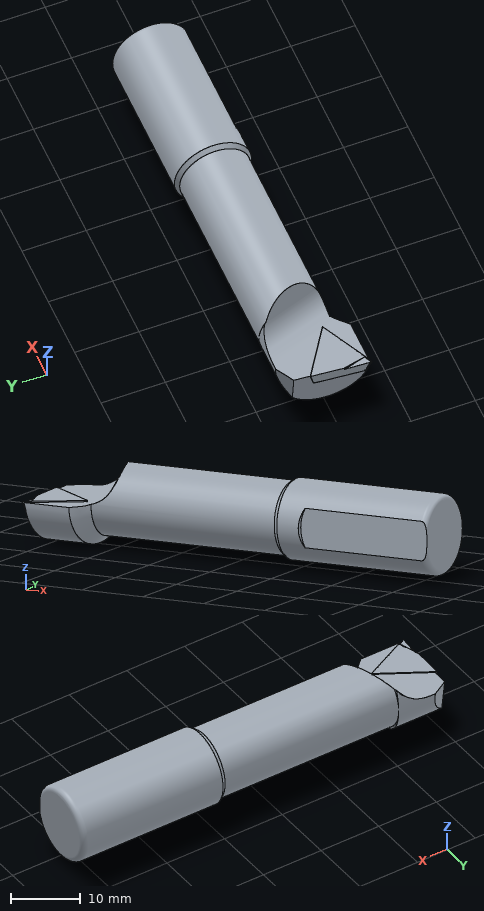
import cadquery as cq
import math

total_length = 65.0
shank_diameter = 12.0
neck_diameter = 11.0
shank_start = 40.0
shank_lead_length = 0.7
shank_end_rounding = 0.9
shank_radius = shank_diameter / 2
neck_radius = neck_diameter / 2

flat_y = -5.25
flat_start = 44.25
flat_end_radius = 6.2

head_diameter = 13.3
head_radius = head_diameter / 2
head_offset_y = neck_radius - head_radius
head_end = 9.95

front_face_x = 0.625
front_lead_slope = 0.055
front_clearance_slope = 0.11
corner_y = 3.85
corner_slope = 1.68

floor_z = 0.1
floor_slope = 0.047
gullet_angle = math.radians(20)
gullet_radius = 5.3
gullet_arc_start = 6.1
gullet_runout_angle = math.radians(62)

insert_side = 9.5
insert_thickness = 2.35
insert_clearance = 11.0
insert_corner_angle = 60.0
insert_lead_angle = 3.0
insert_proud = 0.2
insert_tip_x = -0.02
insert_tip_y = -8.05

breaker_start_y = -3.6
breaker_inner_x = 1.25
breaker_inner_y = -7.6
breaker_z = -0.4
breaker_rise_x = 0.1
breaker_rise_y = -0.025

cutter_size = 26.0

floor_normal = cq.Vector(0, -floor_slope, 1)


def trim(body, point, outward):
    """Remove everything beyond the plane through point."""
    plane = cq.Plane(origin=point, normal=outward)
    return body.cut(cq.Workplane(plane).rect(2 * cutter_size, 2 * cutter_size).extrude(cutter_size))


def make_bar_blank():
    """Turned neck and shank."""
    return (
        cq.Workplane("XY")
        .moveTo(head_end / 2, 0)
        .lineTo(head_end / 2, neck_radius)
        .lineTo(shank_start, neck_radius)
        .lineTo(shank_start + shank_lead_length, shank_radius)
        .lineTo(total_length - shank_end_rounding, shank_radius)
        .radiusArc((total_length, shank_radius - shank_end_rounding), shank_end_rounding)
        .lineTo(total_length, 0)
        .close()
        .revolve(360, (0, 0, 0), (1, 0, 0))
    )


def make_clamping_flat():
    """Cutter for the flat, with a round end toward the neck."""
    end_center = flat_start + flat_end_radius
    start = cq.Workplane("XZ", origin=(end_center, flat_y, 0)).circle(flat_end_radius).extrude(cutter_size)
    length = total_length - end_center
    run = (
        cq.Workplane("XZ", origin=(end_center, flat_y, 0))
        .rect(length, 2 * flat_end_radius, centered=(False, True))
        .extrude(cutter_size)
    )
    return start.union(run)


def make_head():
    """Offset cylinder whose rear is a 45 degree cone around the bar axis."""
    cylinder = cq.Workplane("YZ").center(head_offset_y, 0).circle(head_radius).extrude(head_end)
    cone = (
        cq.Workplane("XY")
        .polyline([(0, 0), (0, neck_radius + head_end), (head_end, neck_radius), (head_end, 0)])
        .close()
        .revolve(360, (0, 0, 0), (1, 0, 0))
    )
    return cylinder.intersect(cone)


def trim_head_front(body):
    """Cut the sloping front face and the bevelled corner on its +Y side."""
    corner_x = front_face_x + front_lead_slope * corner_y
    body = trim(body, (front_face_x, 0, 0), (-1, front_lead_slope, -front_clearance_slope))
    return trim(body, (corner_x, corner_y, 0), (-1, corner_slope, -front_clearance_slope))


def make_gullet():
    """Cutter for the space above the insert seat."""
    sine = math.sin(gullet_angle)
    cosine = math.cos(gullet_angle)
    plane = cq.Plane(
        origin=(0, 0, floor_z),
        xDir=(cosine, sine, floor_slope * sine),
        normal=(sine, -cosine, -floor_slope * cosine),
    )

    def arc_point(angle):
        return (
            gullet_arc_start + gullet_radius * math.sin(angle),
            gullet_radius * (1 - math.cos(angle)),
        )

    arc_end = arc_point(gullet_runout_angle)
    runout_top = arc_end[0] + (cutter_size - arc_end[1]) / math.tan(gullet_runout_angle)
    return (
        cq.Workplane(plane)
        .moveTo(-cutter_size, 0)
        .lineTo(gullet_arc_start, 0)
        .threePointArc(arc_point(gullet_runout_angle / 2), arc_end)
        .lineTo(runout_top, cutter_size)
        .lineTo(-cutter_size, cutter_size)
        .close()
        .extrude(cutter_size, both=True)
    )


def make_insert_blank():
    """Equilateral insert with clearance on all three sides, lying parallel to the gullet floor."""
    def corner(degrees):
        angle = math.radians(degrees)
        return (
            insert_tip_x + insert_side * math.cos(angle),
            insert_tip_y + insert_side * math.sin(angle),
        )

    front_direction = 90 - insert_lead_angle
    plane = cq.Plane(origin=(0, 0, floor_z + insert_proud), xDir=(1, 0, 0), normal=floor_normal)
    return (
        cq.Workplane(plane)
        .polyline([
            (insert_tip_x, insert_tip_y),
            corner(front_direction - insert_corner_angle),
            corner(front_direction),
        ])
        .close()
        .extrude(-insert_thickness, taper=insert_clearance)
    )


def make_chip_breaker():
    """Cutter with a floor that rises away from the front edge."""
    front_slope = math.tan(math.radians(insert_lead_angle))
    start_x = insert_tip_x + front_slope * (breaker_start_y - insert_tip_y)
    plane = cq.Plane(
        origin=(0, 0, breaker_z),
        xDir=(1, 0, breaker_rise_x),
        normal=(-breaker_rise_x, -breaker_rise_y, 1),
    )
    return (
        cq.Workplane(plane)
        .polyline([
            (start_x, breaker_start_y),
            (breaker_inner_x, breaker_inner_y),
            (breaker_inner_x, -cutter_size),
            (-cutter_size, -cutter_size),
            (-cutter_size, breaker_start_y),
        ])
        .close()
        .extrude(cutter_size)
    )


insert_blank = make_insert_blank()
insert = insert_blank.cut(make_chip_breaker())

bar = make_bar_blank().cut(make_clamping_flat())
bar = trim_head_front(bar.union(make_head()))
bar = bar.cut(make_gullet()).cut(insert_blank)

result = cq.Compound.makeCompound([bar.solids().val(), insert.solids().val()])